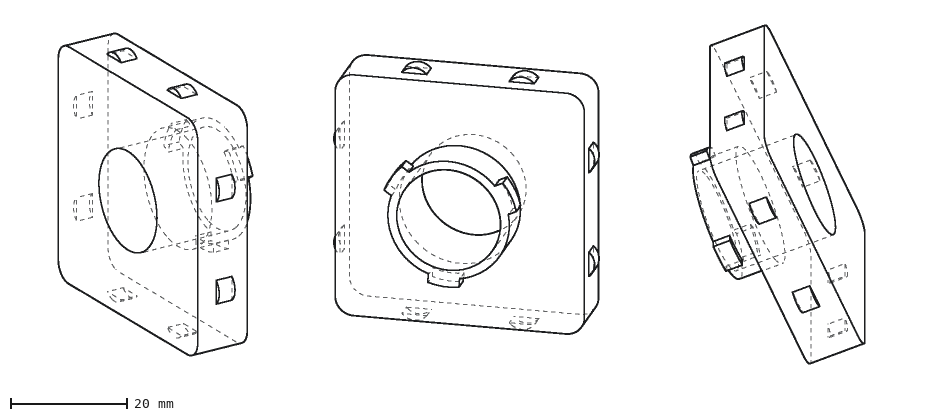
import cadquery as cq

OVERALL_SIZE = 46.25
BUMP_HEIGHT = 1.0
PLATE_SIDE = OVERALL_SIZE - 2 * BUMP_HEIGHT
PLATE_THICKNESS = 10.18
CORNER_RADIUS = 3.3

OVERALL_DEPTH = 18.18
BOSS_RADIUS = 10.78
BORE_RADIUS = 9.2

LUG_COUNT = 3
LUG_FIRST_ANGLE = 34.5
LUG_TIP_RADIUS = 12.3
LUG_WIDTH = 5.55
LUG_DEPTH = 3.1

BUMP_RADIUS = 2.9
BUMP_DEPTH = 3.25
BUMP_FRONT = 3.75
BUMP_POSITIONS = (-10.18, 8.9)


def cylinder(radius, front, depth, x=0.0, z=0.0):
    """Cylinder along +Y whose front face is at y = front."""
    return cq.Workplane("XZ", origin=(x, front, z)).circle(radius).extrude(-depth)


def make_plate():
    plate = cq.Workplane("XZ").rect(PLATE_SIDE, PLATE_SIDE).extrude(-PLATE_THICKNESS)
    return plate.edges("|Y").fillet(CORNER_RADIUS)


def make_lug(angle):
    """Parallel-sided lug with a round tip, reaching out from the boss axis."""
    front = OVERALL_DEPTH - LUG_DEPTH
    bar = (
        cq.Workplane("XZ", origin=(0, front, 0))
        .center(LUG_TIP_RADIUS / 2, 0)
        .rect(LUG_TIP_RADIUS, LUG_WIDTH)
        .extrude(-LUG_DEPTH)
    )
    lug = bar.intersect(cylinder(LUG_TIP_RADIUS, front, LUG_DEPTH))
    return lug.rotate((0, 0, 0), (0, 1, 0), -angle)


def make_bumps():
    """Partly sunk cylinders whose crowns stand out from the plate edges."""
    center_offset = OVERALL_SIZE / 2 - BUMP_RADIUS
    bumps = cq.Workplane("XZ")
    for side in (-1, 1):
        for position in BUMP_POSITIONS:
            across = side * center_offset
            bumps = bumps.add(cylinder(BUMP_RADIUS, BUMP_FRONT, BUMP_DEPTH, x=position, z=across))
            bumps = bumps.add(cylinder(BUMP_RADIUS, BUMP_FRONT, BUMP_DEPTH, x=across, z=position))
    return bumps


body = make_plate().union(cylinder(BOSS_RADIUS, 0, OVERALL_DEPTH))
for lug_index in range(LUG_COUNT):
    body = body.union(make_lug(LUG_FIRST_ANGLE + lug_index * 360 / LUG_COUNT))
for bump in make_bumps().vals():
    body = body.union(cq.Workplane(bump))

result = body.cut(cylinder(BORE_RADIUS, 0, OVERALL_DEPTH))